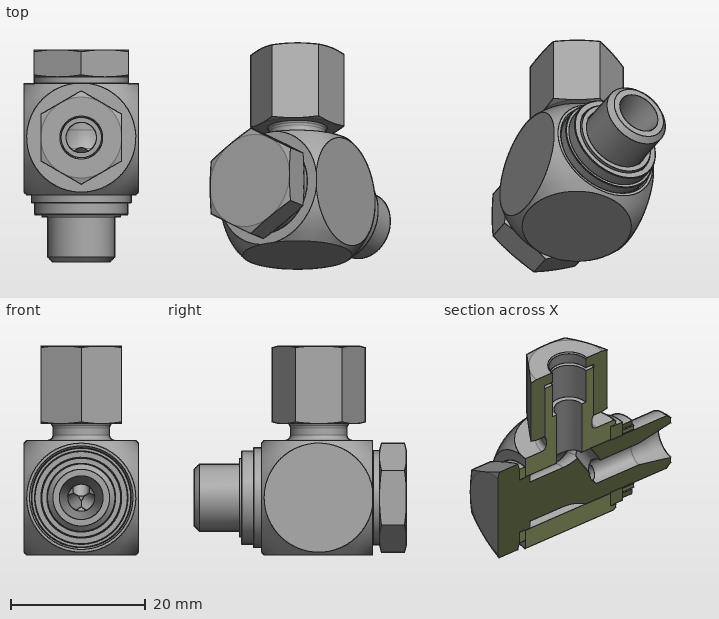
import cadquery as cq
import math


body_half_width = 8.5
body_back_y = 8.0
body_front_y = -body_half_width
flat_radius = 8.1
sphere_radius = math.hypot(body_half_width, flat_radius)

nut_base_z = 11.0
outlet_top_z = 22.5
neck_radius = 8.4 / 2
stem_radius = 8.9 / 2
outlet_bore_radius = 4.5 / 2
tube_bore_radius = 6.0 / 2
tube_stop_z = 14.18
stem_top_z = 20.13
neck_fillet = 0.8
undercut_start_z = 10.33
undercut_bend_z = 10.7
undercut_bend_radius = 4.3

nut_across_flats = 12.0
nut_shoulder_z = outlet_top_z - 1.9
tube_bore_chamfer = 0.2
hex_chamfer_angle = 15.0

bolt_radius = 10.0 / 2
bolt_front_y = -18.5
bolt_tip_chamfer = 0.8
head_base_y = 9.0
head_height = 4.0
head_across_flats = 14.02
bolt_land = 0.95
bolt_neck_radius = 7.5 / 2
flare_start_y = 1.13
cone_start_y = -1.65
flare_angle = 25.0
cone_mouth_radius = 6.5 / 2
bolt_bore_radius = 4.0 / 2
cone_half_angle = 12.0
drill_point_y = -3.65
drill_point_half_angle = 59.0
port_radius = 2.5 / 2
port_tilt = 30.0
port_start_y = -5.42
port_count = 3

head_seal_radius = 14.02 / 2
seal_edge = 0.1
support_radius = 14.85 / 2
support_front_y = -9.7
support_depth = 0.95
recess_chamfer = 0.25
outer_seal_radius = 13.85 / 2
outer_seal_front_y = -11.47
outer_seal_bore_radius = 12.0 / 2
lip_radius = 11.7 / 2
lip_bore_radius = 10.2 / 2
lip_front_y = -11.75


def cylinder_y(radius, start_y, end_y):
    """Cylinder about the Y axis between two Y positions."""
    plane = cq.Workplane("XZ", origin=(0, start_y, 0))
    return plane.circle(radius).extrude(start_y - end_y)


def cylinder_z(radius, start_z, end_z):
    """Cylinder about the Z axis between two Z positions."""
    return cq.Workplane("XY").workplane(offset=start_z).circle(radius).extrude(end_z - start_z)


def ring_y(outer_radius, bore_radius, start_y, end_y):
    """Plain ring about the Y axis."""
    return cylinder_y(outer_radius, start_y, end_y).cut(cylinder_y(bore_radius, start_y, end_y))


def chamfered_hexagon(across_flats, height):
    """Hexagonal prism on Z = 0 with corners on the Y axis, both ends turned down to a circle."""
    flat_distance = across_flats / 2
    corner_distance = flat_distance / math.cos(math.radians(30))
    corner_drop = (corner_distance - flat_distance) * math.tan(math.radians(hex_chamfer_angle))
    prism = cq.Workplane("XY").polygon(6, 2 * corner_distance).extrude(height)
    prism = prism.rotate((0, 0, 0), (0, 0, 1), 90)
    turned_profile = [
        (0, 0),
        (flat_distance, 0),
        (corner_distance, corner_drop),
        (corner_distance, height - corner_drop),
        (flat_distance, height),
        (0, height),
    ]
    turned = cq.Workplane("XZ").polyline(turned_profile).close().revolve(360, (0, 0), (0, 1))
    return prism.intersect(turned)


def outlet_stem():
    """Neck with a fillet at the body, an undercut and the stem that the nut sits on."""
    arc_offset = neck_fillet * (1 - math.cos(math.radians(45)))
    return (
        cq.Workplane("XZ")
        .lineTo(0, body_half_width)
        .lineTo(neck_radius + neck_fillet, body_half_width)
        .threePointArc(
            (neck_radius + arc_offset, body_half_width + arc_offset),
            (neck_radius, body_half_width + neck_fillet),
        )
        .lineTo(neck_radius, undercut_start_z)
        .tangentArcPoint((undercut_bend_radius, undercut_bend_z), relative=False)
        .lineTo(stem_radius, nut_base_z)
        .lineTo(stem_radius, stem_top_z)
        .lineTo(0, stem_top_z)
        .close()
        .revolve(360, (0, 0), (0, 1))
    )


def make_body():
    """Spherical cube with the outlet stem, the cross bore and the front seal recess."""
    block = cq.Workplane("XY").box(2 * body_half_width, body_back_y - body_front_y, 2 * body_half_width)
    block = block.translate((0, (body_back_y + body_front_y) / 2, 0))
    body = block.intersect(cq.Workplane("XY").sphere(sphere_radius)).union(outlet_stem())
    body = body.cut(cylinder_z(outlet_bore_radius, 0, stem_top_z))
    body = body.cut(cylinder_z(tube_bore_radius, tube_stop_z, stem_top_z))
    body = body.cut(cylinder_y(bolt_radius, body_back_y, body_front_y))
    body = body.cut(cylinder_y(support_radius, body_front_y + support_depth, body_front_y))
    countersink = cq.Solid.makeCone(
        support_radius + recess_chamfer,
        support_radius,
        recess_chamfer,
        pnt=cq.Vector(0, body_front_y, 0),
        dir=cq.Vector(0, 1, 0),
    )
    return body.cut(cq.Workplane(countersink))


def make_nut():
    """Hexagon nut bored for the stem from below and for the tube from above."""
    height = outlet_top_z - nut_base_z
    nut = chamfered_hexagon(nut_across_flats, height).translate((0, 0, nut_base_z))
    nut = nut.cut(cylinder_z(stem_radius, nut_base_z, nut_shoulder_z))
    nut = nut.cut(cylinder_z(tube_bore_radius, nut_base_z, outlet_top_z))
    mouth = cq.Solid.makeCone(
        tube_bore_radius,
        tube_bore_radius + tube_bore_chamfer,
        tube_bore_chamfer,
        pnt=cq.Vector(0, 0, outlet_top_z - tube_bore_chamfer),
    )
    return nut.cut(cq.Workplane(mouth))


def bolt_bore():
    """Tapered mouth, straight bore and drill point."""
    cone_length = (cone_mouth_radius - bolt_bore_radius) / math.tan(math.radians(cone_half_angle))
    point_length = bolt_bore_radius / math.tan(math.radians(drill_point_half_angle))
    profile = [
        (0, bolt_front_y),
        (cone_mouth_radius, bolt_front_y),
        (bolt_bore_radius, bolt_front_y + cone_length),
        (bolt_bore_radius, drill_point_y - point_length),
        (0, drill_point_y),
    ]
    return cq.Workplane("XY").polyline(profile).close().revolve(360, (0, 0), (0, 1))


def neck_relief():
    """Relief round the bolt: a straight neck that flares through an arc into a cone."""
    flare = math.radians(flare_angle)
    arc_radius = (flare_start_y - cone_start_y) / math.sin(flare)
    cone_start_radius = bolt_neck_radius + arc_radius * (1 - math.cos(flare))
    cone_end_y = cone_start_y - (bolt_radius - cone_start_radius) / math.tan(flare)
    back_y = body_back_y - bolt_land
    return (
        cq.Workplane("XY")
        .moveTo(bolt_radius, back_y)
        .lineTo(bolt_neck_radius, back_y)
        .lineTo(bolt_neck_radius, flare_start_y)
        .tangentArcPoint((cone_start_radius, cone_start_y), relative=False)
        .lineTo(bolt_radius, cone_end_y)
        .close()
        .revolve(360, (0, 0), (0, 1))
    )


def make_bolt():
    """Hollow bolt with a hexagon head, a relieved neck and radial ports."""
    head = chamfered_hexagon(head_across_flats, head_height)
    head = head.rotate((0, 0, 0), (1, 0, 0), -90).translate((0, head_base_y, 0))
    shank = cylinder_y(bolt_radius, head_base_y, bolt_front_y)
    shank = shank.faces("<Y").chamfer(bolt_tip_chamfer)
    bolt = head.union(shank).cut(neck_relief()).cut(bolt_bore())
    port_length = bolt_radius / math.cos(math.radians(port_tilt))
    for index in range(port_count):
        port = cylinder_z(port_radius, 0, port_length).rotate((0, 0, 0), (1, 0, 0), -port_tilt)
        port = port.translate((0, port_start_y, 0))
        bolt = bolt.cut(port.rotate((0, 0, 0), (0, 1, 0), index * 360 / port_count))
    return bolt


def make_head_seal():
    """Ring between the bolt head and the back of the body."""
    seal = cylinder_y(head_seal_radius, head_base_y, body_back_y).faces("<Y").edges().chamfer(seal_edge)
    return seal.cut(cylinder_y(bolt_radius, head_base_y, body_back_y))


def make_support_ring():
    """Ring that sits in the recess at the front of the body."""
    start_y = body_front_y + support_depth
    ring = cylinder_y(support_radius, start_y, support_front_y).faces("<Y").edges().chamfer(seal_edge)
    return ring.cut(cylinder_y(bolt_radius, start_y, support_front_y))


def make_outer_seal():
    """Ring in front of the support ring, round the lip seal."""
    seal = cylinder_y(outer_seal_radius, support_front_y, outer_seal_front_y)
    seal = seal.faces("<Y").edges().chamfer(seal_edge)
    return seal.cut(cylinder_y(outer_seal_bore_radius, support_front_y, outer_seal_front_y))


def make_lip_seal():
    """Thin ring close round the bolt that stands proud of the outer seal."""
    return ring_y(lip_radius, lip_bore_radius, support_front_y, lip_front_y)


body = make_body()
nut = make_nut()
bolt = make_bolt()
head_seal = make_head_seal()
support_ring = make_support_ring()
outer_seal = make_outer_seal()
lip_seal = make_lip_seal()

result = cq.Compound.makeCompound(
    [
        body.val(),
        nut.val(),
        bolt.val(),
        head_seal.val(),
        support_ring.val(),
        outer_seal.val(),
        lip_seal.val(),
    ]
)